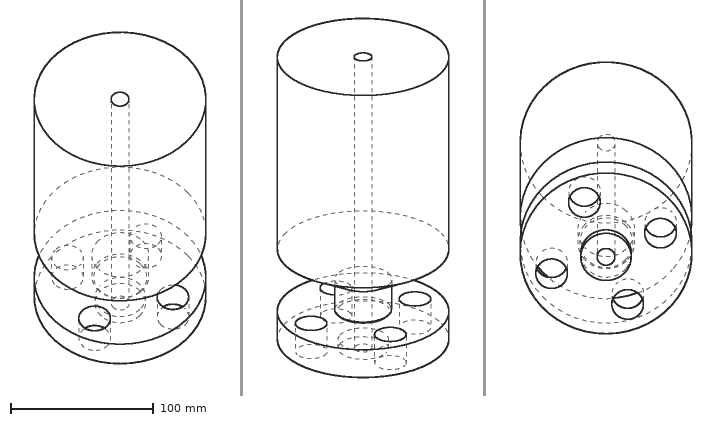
import cadquery as cq

total_height = 228.5
body_diameter = 120.7
flange_diameter = body_diameter

spigot_diameter = 35.5
spigot_height = 6.9
flange_thickness = 22.0
neck_diameter = 40.0
neck_height = 25.4
neck_chamfer = 1.4
cone_height = 23.3

bore_diameter = 12.5
bolt_hole_diameter = 22.2
bolt_circle_diameter = 82.3
bolt_hole_count = 4

flange_top = spigot_height + flange_thickness
neck_top = flange_top + neck_height
body_bottom = neck_top + cone_height
body_height = total_height - body_bottom


def disc(diameter, bottom, height):
    """Solid cylinder about the Z axis, standing on the given level."""
    return cq.Workplane("XY").workplane(offset=bottom).circle(diameter / 2).extrude(height)


def make_flange():
    """Round flange with a ring of through holes, starting on the X axis."""
    plate = disc(flange_diameter, spigot_height, flange_thickness)
    return (
        plate.faces(">Z")
        .workplane()
        .polarArray(bolt_circle_diameter / 2, 0, 360, bolt_hole_count)
        .hole(bolt_hole_diameter)
    )


def make_neck():
    """Neck with a small chamfer where it meets the flange."""
    return disc(neck_diameter, flange_top, neck_height).faces("<Z").edges().chamfer(neck_chamfer)


def make_cone():
    """Cone widening from the neck to the body."""
    return (
        cq.Workplane("XY")
        .workplane(offset=neck_top)
        .circle(neck_diameter / 2)
        .workplane(offset=cone_height)
        .circle(body_diameter / 2)
        .loft()
    )


spigot = disc(spigot_diameter, 0, spigot_height)
body = disc(body_diameter, body_bottom, body_height)
bore = disc(bore_diameter, 0, total_height)

result = spigot.union(make_flange()).union(make_neck()).union(make_cone()).union(body).cut(bore)